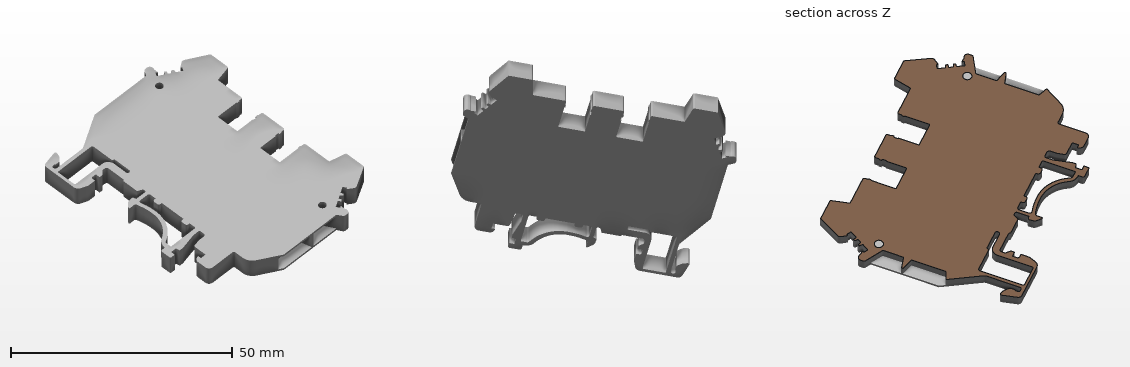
import cadquery as cq
import math

thickness = 5.2
half_width = 31.7
height = 50.5
side_x = 30.1
left_side_bottom = 18.95
right_side_bottom = 18.7
slope = math.tan(math.radians(30))

deck_y = 46.05
notch_floor = 38.05
notch_outer_x = 9.8
notch_inner_x = 3.6
latch_step = 0.2
latch_top = 44.85
latch_bottom = 44.1
latch_groove_bottom = 43.15
edge_round = 0.4

holder_top = (25.2, 42.6)
holder_bottom = (28.35, 37.25)
tooth_start = 1.85
tooth_pitch = 1.8
tooth_width = 0.8
tooth_height = 0.8
tooth_taper = 0.1
tooth_count = 2
lip_reach = 1.1
lip_width = 0.45
ear_bottom = 35.65

rail_seat_y = 10.5
pad_y = 9.6
ledge_y = 11.5
hook_y = 6.3
left_wall_x = -24.85
left_post_x = -16.05
spring_left_x = -5.5
spring_inner_x = -4.55
spring_right_x = 11.4
window_right_x = 10.2
right_leg_x = 21.4

hole_x = 25.8
hole_y = 35.5
hole_diameter = 1.95
hole_depth = thickness / 2
pocket_depth = 2.9
pocket_skin = 0.6


def rounded_wire(corners):
    """Closed outline through (x, y, radius) corners, each rounded by a tangent arc."""
    starts, middles, ends = [], [], []
    for i, (x, y, radius) in enumerate(corners):
        corner = cq.Vector(x, y)
        before = cq.Vector(*corners[i - 1][:2])
        after = cq.Vector(*corners[(i + 1) % len(corners)][:2])
        back = (before - corner).normalized()
        ahead = (after - corner).normalized()
        half_angle = back.getAngle(ahead) / 2
        tangent_length = radius / math.tan(half_angle)
        bisector = (back + ahead).normalized()
        starts.append(corner + back * tangent_length)
        middles.append(corner + bisector * (radius / math.sin(half_angle) - radius))
        ends.append(corner + ahead * tangent_length)

    path = cq.Workplane("XY").moveTo(ends[0].x, ends[0].y)
    for i in list(range(1, len(corners))) + [0]:
        path = path.lineTo(starts[i].x, starts[i].y)
        if corners[i][2] > 0:
            path = path.threePointArc(middles[i].toTuple()[:2], ends[i].toTuple()[:2])
    return path.close()


def marker_holder():
    """Corners of the toothed recess, from its bottom lip up to its top lip."""
    run = holder_bottom[0] - holder_top[0]
    rise = holder_bottom[1] - holder_top[1]
    length = math.hypot(run, rise)
    along_x, along_y = run / length, rise / length

    def at(along, out):
        x = holder_top[0] + along * along_x - out * along_y
        y = holder_top[1] + along * along_y + out * along_x
        return (x, y, 0)

    points = [at(length, lip_reach), at(length, 0)]
    for i in reversed(range(tooth_count)):
        upper = tooth_start + i * tooth_pitch
        lower = upper + tooth_width
        points += [
            at(lower, 0),
            at(lower - tooth_taper, tooth_height),
            at(upper + tooth_taper, tooth_height),
            at(upper, 0),
        ]
    points += [at(0, 0), at(0, lip_reach), at(lip_width, lip_reach)]
    return points


def upper_half():
    """Corners of the right upper half, from the straight side to the middle shoulder."""
    ear = [
        (side_x, ear_bottom, 0),
        (half_width, ear_bottom + (half_width - side_x) * slope, 0.65),
        (half_width, 38.5, 0.9),
        (30.4, 38.4, 0.25),
        (30.1, 38.25, 0),
        (28.9, 38.25, 0),
    ]
    end_post = [
        (27.6, 44.6, 0.95),
        (24.3, height, 0),
        (18.65, height, edge_round),
        (17.65, deck_y, 0),
    ]
    notch = [
        (notch_outer_x, deck_y, edge_round),
        (notch_outer_x, latch_top, 0),
        (notch_outer_x - latch_step, latch_top, 0),
        (notch_outer_x - latch_step, latch_bottom, 0),
        (notch_outer_x, latch_bottom, 0),
        (notch_outer_x, notch_floor, 0),
        (notch_inner_x, notch_floor, 0),
        (notch_inner_x, latch_groove_bottom, 0),
        (notch_inner_x - latch_step, latch_groove_bottom, 0),
        (notch_inner_x - latch_step, latch_bottom, 0),
        (notch_inner_x + latch_step, latch_bottom, 0),
        (notch_inner_x + latch_step, latch_top, 0),
        (notch_inner_x, latch_top, 0),
        (notch_inner_x, deck_y, edge_round),
    ]
    return ear + marker_holder() + end_post + notch


def underside():
    """Corners of the bottom edge, from the left side to the right side."""
    left_slope_end = left_side_bottom - (side_x + left_wall_x) / slope
    left_hook = [
        (-side_x, left_side_bottom, 0),
        (left_wall_x, left_slope_end, 1.15),
        (left_wall_x, 0.95, 0.45),
        (-26.0, 0.95, 0.45),
        (-26.0, 1.9, 0),
        (-25.8, 2.1, 0),
        (-25.8, 3.35, 0.4),
        (-27.0, 4.45, 1.3),
        (-28.7, 4.9, 0.4),
        (-27.5, 0, 0.95),
    ]
    left_foot = [
        (-17.1, 0, 1.4),
        (left_post_x, 2.65, 2.55),
        (left_post_x, 4.8, 0),
        (-17.25, 4.8, 0.45),
        (-17.25, hook_y, 0),
        (left_post_x, hook_y, 0),
        (left_post_x, 7.3, 0.25),
        (-17.05, 8.2, 0.25),
        (-17.05, pad_y, 0.5),
        (-11.75, pad_y, 0),
        (-11.4, 9.2, 0),
        (-7.05, 9.2, 0),
        (-6.4, rail_seat_y, 0.4),
        (spring_left_x, rail_seat_y, 0.4),
    ]
    rail_spring = [
        (spring_left_x, 7.35, 0),
        (-6.4, 7.15, 0.3),
        (-6.3, 5.45, 1.3),
        (-4.7, 4.0, 0.2),
        (spring_inner_x, 4.45, 0),
        (spring_inner_x, 6.1, 0.5),
        (-1.7, 6.85, 15.2),
        (4.7, 6.7, 7.6),
        (7.75, 1.6, 2.55),
        (9.45, 1.4, 0),
    ]
    release_foot = [
        (9.45, 0, 0.5),
        (12.55, 0, 0.3),
        (12.55, 1.4, 0),
        (spring_right_x, 1.4, 0),
        (spring_right_x, 2.9, 0),
        (12.45, 3.1, 0),
        (12.45, 4.2, 0),
        (spring_right_x, 8.55, 0),
        (spring_right_x, rail_seat_y, 0.4),
    ]
    right_leg = [
        (13.4, rail_seat_y, 0.6),
        (13.4, 8.4, 0),
        (13.8, hook_y, 0.45),
        (17.5, hook_y, 0),
        (17.5, 4.8, 0),
        (16.7, 4.8, 0),
        (16.7, 3.5, 1.15),
        (right_leg_x, 3.5, 1.2),
        (right_leg_x, ledge_y, edge_round),
        (side_x - (right_side_bottom - ledge_y) * slope, ledge_y, 3.2),
        (side_x, right_side_bottom, 0),
    ]
    return left_hook + left_foot + rail_spring + release_foot + right_leg


def foot_window():
    """Corners of the opening in the left foot with its narrow slot to the right."""
    return [
        (-23.9, 11.9, edge_round),
        (-23.9, 0.75, 0.25),
        (-18.45, 0.75, 0.25),
        (-18.45, ledge_y, 1.9),
        (-12.3, ledge_y, 0.45),
        (-12.3, 12.5, 0.45),
        (-17.45, 12.5, 0.2),
        (-17.65, 11.9, 0),
    ]


def spring_window():
    """Corners of the opening between the rail seat and the arched spring."""
    pad_width = 1.95
    pad_round = 0.6
    points = [
        (spring_inner_x, rail_seat_y, 0.5),
        (spring_inner_x, 7.05, 0.5),
        (-1.7, 7.8, 15.2),
        (5.25, 7.7, 8.55),
        (8.5, 2.55, 0.5),
        (window_right_x, 2.55, 0),
        (window_right_x, rail_seat_y, 0.3),
    ]
    for pad_left in (6.35, -2.5):
        pad_right = pad_left + pad_width
        points += [
            (pad_right, rail_seat_y, 0),
            (pad_right, pad_y, pad_round),
            (pad_left, pad_y, pad_round),
            (pad_left, rail_seat_y, 0),
        ]
    return points


def mirrored(corners):
    """The same corners reflected across X = 0, in reverse order."""
    return [(-x, y, radius) for x, y, radius in reversed(corners)]


def side_pocket(mouth_top, mouth_bottom, floor_top, floor_bottom):
    """Tapered pocket entering the right side, with an open mouth at side_x."""
    floor_x = side_x - pocket_depth
    mouth = [(side_x, mouth_bottom), (side_x, mouth_top)]
    floor = [(floor_x, floor_top), (floor_x, floor_bottom)]
    return (
        cq.Workplane("XY")
        .workplane(offset=pocket_skin)
        .polyline(mouth + floor)
        .close()
        .extrude(thickness - 2 * pocket_skin)
    )


right_half = upper_half()
body = rounded_wire(underside() + right_half + mirrored(right_half)).extrude(thickness)

for window in (foot_window(), spring_window()):
    body = body.cut(rounded_wire(window).extrude(thickness))

upper_pocket = side_pocket(ear_bottom, 28.2, ear_bottom - pocket_depth * slope, 28.9)
lower_pocket = side_pocket(27.7, 17.4, 26.9, 18.5)
for pocket in (upper_pocket, lower_pocket):
    body = body.cut(pocket).cut(pocket.mirror("YZ"))

result = (
    body.faces(">Z")
    .workplane(origin=(0, 0, thickness))
    .pushPoints([(-hole_x, hole_y), (hole_x, hole_y)])
    .hole(hole_diameter, hole_depth)
)